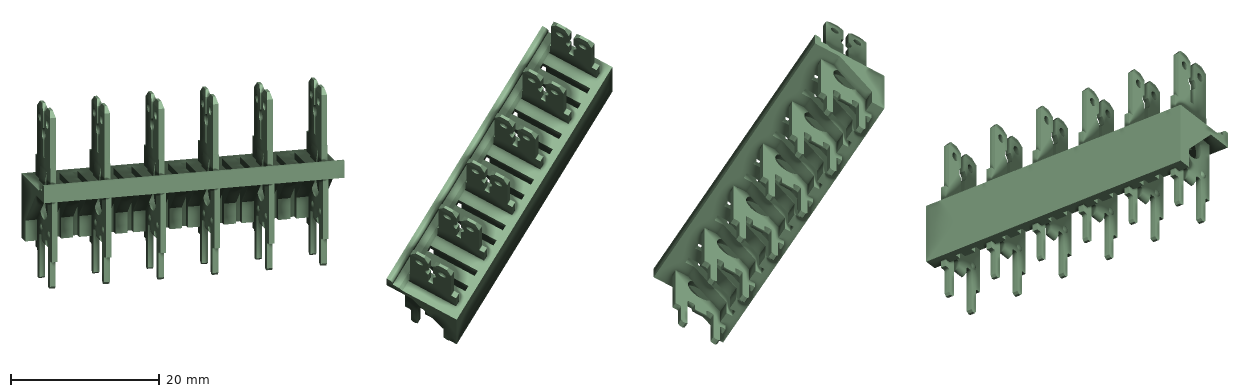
import cadquery as cq
import math


terminal_count = 6
pitch = 7.62
slots_per_pitch = 3
slot_pitch = pitch / slots_per_pitch
slot_width = 0.85
slot_count = (terminal_count - 1) * slots_per_pitch + 1

sheet = 0.8
body_half_width = 3.95
pin_spacing = 5.08
pin_width = 1.02
pin_length = 4.05
pin_tip_width = 0.5
pin_tip_height = 0.35
corner_radius = 0.3
shoulder_radius = 0.15
notch_top = 2.45
tab_half_width = 0.91
terminal_height = 20.95
shoulder_top = 13.0
right_shoulder = 3.3
blade_half_width = 3.17
tine_gap = 0.76
slit_bottom = 13.7
keyhole_diameter = 1.7
keyhole_height = 16.93
tip_height = 0.85
tip_side_inset = 0.75
tip_face_inset = 0.2
tip_hole_diameter = 1.2
tip_hole_height = 18.83
window_diameter = 4.0
window_height = 6.95

lance_height = 2.0
lance_projection = 0.28
lance_top_half_width = 1.55
lance_bottom_half_width = 1.35
dimple_diameter = 1.05
dimple_projection = 0.2
dimple_places = [(-1.15, 3.45), (2.5, 3.45)]
tab_bend_radius = 0.9

housing_length = 42.22
housing_bottom = 1.05
housing_top = 10.1
rail_bottom = 9.05
housing_left = -5.0
housing_right = 5.9
wall = 1.95
gusset_end = 2.0
ramp_start = 3.42
ramp_end = 3.96
ledge_top = 10.45
lip_left = 4.95
lip_top = 11.45
lip_radius = 0.5


def terminal_y(index):
    return (index - (terminal_count - 1) / 2) * pitch


def make_housing():
    wall_inside = housing_left + wall
    gusset_bottom = rail_bottom - (gusset_end - wall_inside)
    arc_step = lip_radius * (1 - math.sqrt(0.5))
    profile = (
        cq.Workplane("XZ")
        .moveTo(housing_left, housing_bottom)
        .lineTo(wall_inside, housing_bottom)
        .lineTo(wall_inside, gusset_bottom)
        .lineTo(gusset_end, rail_bottom)
        .lineTo(housing_right, rail_bottom)
        .lineTo(housing_right, lip_top)
        .lineTo(lip_left + lip_radius, lip_top)
        .threePointArc((lip_left + arc_step, lip_top - arc_step), (lip_left, lip_top - lip_radius))
        .lineTo(lip_left, ledge_top)
        .lineTo(ramp_end, ledge_top)
        .lineTo(ramp_start, housing_top)
        .lineTo(housing_left, housing_top)
        .close()
    )
    housing = profile.extrude(housing_length / 2, both=True)

    slot_left = -body_half_width
    slots = (
        cq.Workplane("XY", origin=((slot_left + ramp_start) / 2, 0, housing_bottom))
        .rarray(1, slot_pitch, 1, slot_count)
        .rect(ramp_start - slot_left, slot_width)
        .extrude(housing_top - housing_bottom)
    )
    return housing.cut(slots)


def plate(left, right, bottom, top):
    """Piece of sheet between the given X and Z limits, centred on Y = 0."""
    return (
        cq.Workplane("XY", origin=((left + right) / 2, 0, bottom))
        .rect(right - left, sheet)
        .extrude(top - bottom)
    )


def round_corner(body, x, z, radius):
    """Fillet the edge that runs through the sheet thickness at the given corner."""
    return body.edges(cq.selectors.NearestToPointSelector((x, 0, z))).fillet(radius)


def make_blank():
    """Sheet outline with pins, notches, shoulders and the blade up to its bevelled tips."""
    blank = plate(-body_half_width, body_half_width, 0, rail_bottom)
    blank = blank.union(plate(-body_half_width, right_shoulder, rail_bottom, shoulder_top))
    blank = blank.union(
        plate(-blade_half_width, blade_half_width, shoulder_top, terminal_height - tip_height)
    )
    notch_outer = (pin_spacing - pin_width) / 2
    blank = blank.cut(plate(tab_half_width, notch_outer, 0, notch_top))
    blank = blank.cut(plate(-notch_outer, -tab_half_width, 0, notch_top))
    blank = blank.cut(plate(-tab_half_width, tab_half_width, 0, housing_bottom + tab_bend_radius))
    for side in (-1, 1):
        pin_x = side * pin_spacing / 2
        blank = blank.union(plate(pin_x - pin_width / 2, pin_x + pin_width / 2, -pin_length, 0))

    pin_outer = (pin_spacing + pin_width) / 2
    for side in (-1, 1):
        blank = round_corner(blank, side * notch_outer, notch_top, corner_radius)
        blank = round_corner(blank, side * tab_half_width, notch_top, corner_radius)
        blank = round_corner(blank, side * pin_outer, 0, corner_radius)
    blank = round_corner(blank, -blade_half_width, shoulder_top, shoulder_radius)
    pin_tip_inset = (pin_width - pin_tip_width) / 2
    return blank.faces("<Z").edges("|Y").chamfer(pin_tip_height, pin_tip_inset)


def add_tines_and_holes(terminal):
    """Bevelled tips, the slit that parts the two tines, and all round holes."""
    tine_width = blade_half_width - tine_gap / 2
    tine_x = (blade_half_width + tine_gap / 2) / 2
    for side in (-1, 1):
        tip = (
            cq.Workplane("XY", origin=(side * tine_x, 0, terminal_height - tip_height))
            .rect(tine_width, sheet)
            .workplane(offset=tip_height)
            .rect(tine_width - 2 * tip_side_inset, sheet - 2 * tip_face_inset)
            .loft(ruled=True)
        )
        terminal = terminal.union(tip)

    slit = plate(-tine_gap / 2, tine_gap / 2, slit_bottom, terminal_height)
    terminal = terminal.cut(slit)
    for x, z, diameter in (
        (0, keyhole_height, keyhole_diameter),
        (-tine_x, tip_hole_height, tip_hole_diameter),
        (tine_x, tip_hole_height, tip_hole_diameter),
        (0, window_height, window_diameter),
    ):
        hole = cq.Workplane("XZ").center(x, z).circle(diameter / 2).extrude(sheet, both=True)
        terminal = terminal.cut(hole)
    return terminal


def make_lance():
    """Wedge that leans out of the front face and rests on top of the housing."""
    lance_top = housing_top + lance_height
    wedge = (
        cq.Workplane("YZ")
        .moveTo(-sheet / 2, lance_top)
        .lineTo(-sheet / 2 - lance_projection, housing_top)
        .lineTo(-sheet / 2, housing_top)
        .close()
        .extrude(lance_top_half_width, both=True)
    )
    outline = (
        cq.Workplane("XZ")
        .moveTo(-lance_top_half_width, lance_top)
        .lineTo(lance_top_half_width, lance_top)
        .lineTo(lance_bottom_half_width, housing_top)
        .lineTo(-lance_bottom_half_width, housing_top)
        .close()
        .extrude(sheet, both=True)
    )
    return wedge.intersect(outline)


def make_dimple(x, z):
    """Shallow spherical bump on the front face."""
    rim = dimple_diameter / 2
    sphere_radius = (rim**2 + dimple_projection**2) / (2 * dimple_projection)
    half_angle = math.asin(rim / sphere_radius) / 2
    mid_depth = sphere_radius * (1 - math.cos(half_angle))
    mid_point = (sphere_radius * math.sin(half_angle), mid_depth - dimple_projection)
    return (
        cq.Workplane("XY", origin=(x, -sheet / 2, z))
        .lineTo(rim, 0)
        .threePointArc(mid_point, (0, -dimple_projection))
        .close()
        .revolve(360, (0, 0, 0), (0, 1, 0))
    )


def make_bent_tab():
    """Quarter bend that turns the middle tab towards +Y."""
    bend_z = housing_bottom + tab_bend_radius
    bend = (
        cq.Workplane("YZ", origin=(0, tab_bend_radius - sheet / 2, bend_z))
        .circle(tab_bend_radius)
        .extrude(tab_half_width, both=True)
    )
    return bend.intersect(plate(-tab_half_width, tab_half_width, housing_bottom, bend_z))


def make_terminal():
    terminal = add_tines_and_holes(make_blank())
    terminal = terminal.union(make_lance())
    for x, z in dimple_places:
        terminal = terminal.union(make_dimple(x, z))
    return terminal.union(make_bent_tab())


housing = make_housing()
terminal = make_terminal()
terminals = [terminal.translate((0, terminal_y(i), 0)) for i in range(terminal_count)]

result = cq.Compound.makeCompound([housing.val(), *[t.val() for t in terminals]])